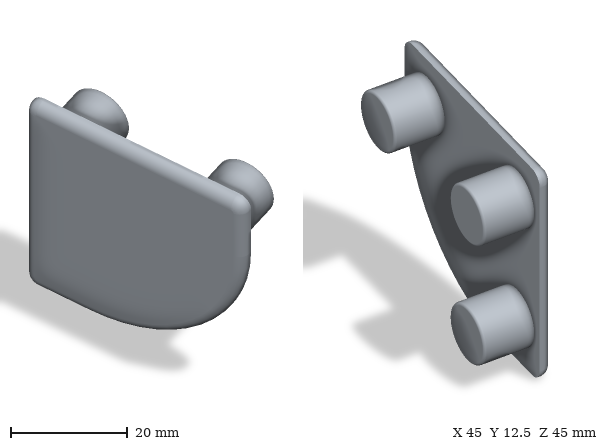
import cadquery as cq

side = 45.0
plate_thickness = 2.5
large_corner_radius = 32.0
small_corner_radius = 2.48
front_edge_radius = 2.0

total_depth = 12.5
peg_diameter = 11.5
peg_end_radius = 0.5
peg_side_inset = 7.55
peg_top_inset = 9.5

half_side = side / 2
peg_length = total_depth - plate_thickness
left_peg_x = -half_side + peg_side_inset
top_peg_z = half_side - peg_top_inset
peg_centers = [
    (left_peg_x, top_peg_z),
    (-left_peg_x, top_peg_z),
    (left_peg_x, -top_peg_z),
]


def make_plate():
    """Plate with its front face at Y = 0 and its back at Y = plate_thickness."""
    plate = cq.Workplane("XY").box(side, plate_thickness, side)
    plate = plate.translate((0, plate_thickness / 2, 0))
    plate = plate.edges("|Y and (<X or >Z)").fillet(small_corner_radius)
    plate = plate.edges("|Y").edges(">(1, 0, -1)").fillet(large_corner_radius)
    return plate.faces("<Y").edges().fillet(front_edge_radius)


def make_peg(x, z):
    """Solid round peg with a rounded free end."""
    peg = cq.Workplane("XZ").circle(peg_diameter / 2).extrude(-peg_length)
    peg = peg.faces(">Y").edges().fillet(peg_end_radius)
    return peg.translate((x, plate_thickness, z))


result = make_plate()
for peg_x, peg_z in peg_centers:
    result = result.union(make_peg(peg_x, peg_z))